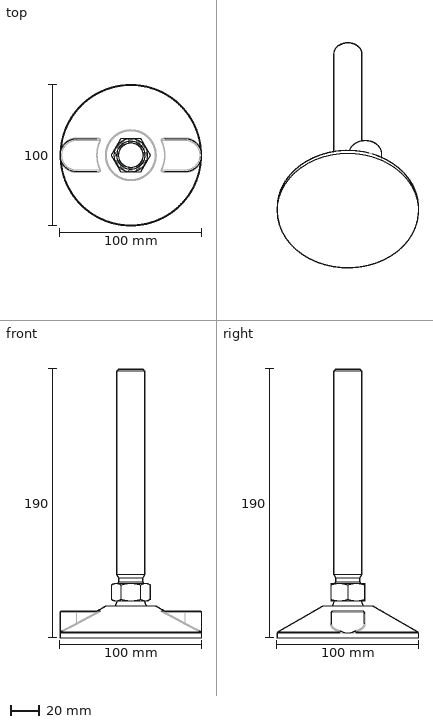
import cadquery as cq
import math

foot_radius = 50.0
foot_edge_height = 3.6
cone_base_radius = 49.4
cone_base_height = 4.5
cone_top_radius = 17.7
foot_height = 22.8
cone_top_fillet = 1.5

lug_width = 23.2
lug_top = 19.2
lug_fillet = 1.1
lug_root_fillet = 0.8

hex_flats = 24.0
hex_bottom = 26.2
hex_top = 38.8
hex_corner_cut = 1.1
hex_chamfer_radius = 11.8
ball_neck_base_radius = 11.0
ball_neck_top_radius = 9.7
collar_radius = 9.3
collar_top = 39.7
neck_radius = 8.5
neck_top = 42.5

stud_diameter = 20.0
stud_radius = stud_diameter / 2
stud_bottom = 44.8
stud_chamfer = 1.3
total_height = 190.0


def revolve_profile(points):
    """Revolve a radius/height outline about the Z axis."""
    return cq.Workplane("XZ").polyline(points).close().revolve(360, (0, 0), (0, 1))


def make_foot():
    cone = revolve_profile([
        (0, 0),
        (foot_radius, 0),
        (foot_radius, foot_edge_height),
        (cone_base_radius, cone_base_height),
        (cone_top_radius, foot_height),
        (0, foot_height),
    ])
    return cone.faces(">Z").edges().fillet(cone_top_fillet)


def make_lugs():
    """Bar with round ends reaching the foot edge; its middle is hidden in the cone."""
    return (
        cq.Workplane("XY")
        .slot2D(2 * foot_radius, lug_width)
        .extrude(lug_top)
        .faces(">Z")
        .edges()
        .fillet(lug_fillet)
    )


def make_hexagon():
    """Hexagon with corners on the X axis, chamfered at both ends."""
    corner_radius = hex_flats / 2 / math.cos(math.radians(30))
    prism = (
        cq.Workplane("XY", origin=(0, 0, hex_bottom))
        .polygon(6, 2 * corner_radius)
        .extrude(hex_top - hex_bottom)
    )
    chamfer_envelope = revolve_profile([
        (0, hex_bottom),
        (hex_chamfer_radius, hex_bottom),
        (corner_radius, hex_bottom + hex_corner_cut),
        (corner_radius, hex_top - hex_corner_cut),
        (hex_chamfer_radius, hex_top),
        (0, hex_top),
    ])
    return prism.intersect(chamfer_envelope)


def make_stud():
    """Turned core from the foot to the top of the stud."""
    return revolve_profile([
        (0, foot_height),
        (ball_neck_base_radius, foot_height),
        (ball_neck_top_radius, hex_bottom),
        (collar_radius, hex_top),
        (neck_radius, collar_top),
        (neck_radius, neck_top),
        (stud_radius, stud_bottom),
        (stud_radius, total_height - stud_chamfer),
        (stud_radius - stud_chamfer, total_height),
        (0, total_height),
    ])


def make_foot_with_lugs():
    """Foot and lugs, with a small fillet where the lug walls meet the cone."""
    body = make_foot().union(make_lugs())
    return body.edges("%HYPERBOLA").fillet(lug_root_fillet)


result = make_foot_with_lugs().union(make_hexagon()).union(make_stud())